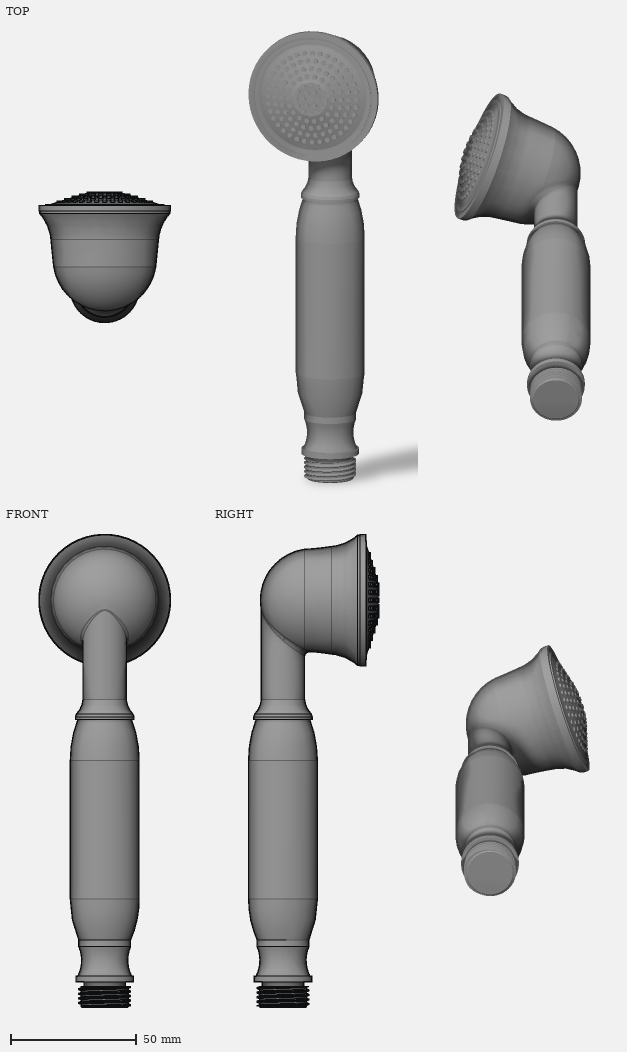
import cadquery as cq
import math


THREAD_PITCH = 1.81
THREAD_TURNS = 6
THREAD_OUTER_RADIUS = 10.4
THREAD_ROOT_RADIUS = 9.5
THREAD_OVERLAP = 0.4
THREAD_BOTTOM_Z = 0.5
CORE_CHAMFER = 0.4
THREAD_RIDGE_BASE = 1.5
THREAD_RIDGE_CREST = 0.4
CORE_TOP_Z = 8.3
RELIEF_RADIUS = 8.3

FLANGE_RADIUS = 11.5
FLANGE_BOTTOM_Z = 10.2
FLANGE_TOP_Z = 12.5
NECK_FOOT_RADIUS = 10.8
NECK_WAIST_RADIUS = 9.3
NECK_WAIST_Z = 18.9
COLLAR_RADIUS = 10.4
COLLAR_BOTTOM_Z = 24.4
COLLAR_TOP_Z = 27.0
GRIP_RADIUS = 13.8
GRIP_BOTTOM_Z = 43.3
GRIP_TOP_Z = 98.7
GRIP_END_RADIUS = 10.8
GRIP_END_Z = 115.0
RING_RADIUS = 11.7
RING_BEVEL_Z = 116.0
RING_TOP_Z = 117.2
FLARE_FOOT_RADIUS = 11.3
FLARE_MID_RADIUS = 9.3
FLARE_MID_Z = 120.5
STEM_RADIUS = 8.7
STEM_BOTTOM_Z = 123.0

RIM_DIAMETER = 52.7
RIM_RADIUS = RIM_DIAMETER / 2
OVERALL_HEIGHT = 189.0
HEAD_Z = OVERALL_HEIGHT - RIM_RADIUS
RIM_FRONT_Y = 33.0
RIM_BACK_Y = 30.8
LIP_RADIUS = 26.0
LIP_BACK_Y = 29.9
BELL_MID_Y = 25.0
BELL_MID_RADIUS = 22.9
BELL_END_Y = 19.5
BELL_END_RADIUS = 21.5
DOME_START_Y = 8.5
DOME_RADIUS = 20.5
POLE_Y = -9.0
STEM_BLEND_RADIUS = 1.7
SEAM_MARGIN = 1.0

DISC_RADIUS = 23.6
DISC_HEIGHT = 0.4
FACE_RADIUS = 21.5
FACE_FLAT_RADIUS = 6.8
FACE_HEIGHT = 5.0
NOZZLE_RADIUS = 1.0
NOZZLE_HEIGHT = 0.4
NOZZLE_RING_COUNT = 6
NOZZLE_RING_STEP = 3.0
NOZZLES_PER_STEP = 6


def tangent_arc_mid(r_tangent, z_tangent, r_end, z_end):
    """Midpoint of the arc that leaves (r_tangent, z_tangent) along Z and reaches (r_end, z_end)."""
    drop = r_tangent - r_end
    length = z_end - z_tangent
    arc_radius = (drop**2 + length**2) / (2 * drop)
    half_angle = math.asin(length / arc_radius) / 2
    return (
        r_tangent - arc_radius * (1 - math.cos(half_angle)),
        z_tangent + arc_radius * math.sin(half_angle),
    )


def make_handle():
    lower_mid = tangent_arc_mid(GRIP_RADIUS, GRIP_BOTTOM_Z, COLLAR_RADIUS, COLLAR_TOP_Z)
    upper_mid = tangent_arc_mid(GRIP_RADIUS, GRIP_TOP_Z, GRIP_END_RADIUS, GRIP_END_Z)
    profile = (
        cq.Workplane("XZ")
        .lineTo(THREAD_ROOT_RADIUS - CORE_CHAMFER, 0)
        .lineTo(THREAD_ROOT_RADIUS, CORE_CHAMFER)
        .lineTo(THREAD_ROOT_RADIUS, CORE_TOP_Z)
        .lineTo(RELIEF_RADIUS, CORE_TOP_Z)
        .lineTo(RELIEF_RADIUS, FLANGE_BOTTOM_Z)
        .lineTo(FLANGE_RADIUS, FLANGE_BOTTOM_Z)
        .lineTo(FLANGE_RADIUS, FLANGE_TOP_Z)
        .lineTo(NECK_FOOT_RADIUS, FLANGE_TOP_Z)
        .threePointArc((NECK_WAIST_RADIUS, NECK_WAIST_Z), (COLLAR_RADIUS, COLLAR_BOTTOM_Z))
        .lineTo(COLLAR_RADIUS, COLLAR_TOP_Z)
        .threePointArc(lower_mid, (GRIP_RADIUS, GRIP_BOTTOM_Z))
        .lineTo(GRIP_RADIUS, GRIP_TOP_Z)
        .threePointArc(upper_mid, (GRIP_END_RADIUS, GRIP_END_Z))
        .lineTo(RING_RADIUS, GRIP_END_Z)
        .lineTo(RING_RADIUS, RING_BEVEL_Z)
        .lineTo(FLARE_FOOT_RADIUS, RING_TOP_Z)
        .threePointArc((FLARE_MID_RADIUS, FLARE_MID_Z), (STEM_RADIUS, STEM_BOTTOM_Z))
        .lineTo(STEM_RADIUS, HEAD_Z)
        .lineTo(0, HEAD_Z)
        .close()
    )
    return profile.revolve(360, (0, 0, 0), (0, 1, 0))


def make_thread():
    inner_radius = THREAD_ROOT_RADIUS - THREAD_OVERLAP
    helix = cq.Wire.makeHelix(THREAD_PITCH, THREAD_PITCH * THREAD_TURNS, THREAD_ROOT_RADIUS)
    ridge = (
        cq.Workplane("XZ")
        .moveTo(inner_radius, -THREAD_RIDGE_BASE / 2)
        .lineTo(THREAD_OUTER_RADIUS, -THREAD_RIDGE_CREST / 2)
        .lineTo(THREAD_OUTER_RADIUS, THREAD_RIDGE_CREST / 2)
        .lineTo(inner_radius, THREAD_RIDGE_BASE / 2)
        .close()
        .sweep(cq.Workplane(helix), isFrenet=True)
    )
    ridge = ridge.translate((0, 0, -THREAD_PITCH / 2))
    threaded_length = (
        cq.Workplane("XY", origin=(0, 0, THREAD_BOTTOM_Z))
        .circle(FLANGE_RADIUS)
        .extrude(CORE_TOP_Z - THREAD_BOTTOM_Z)
    )
    return ridge.intersect(threaded_length)


def make_head():
    dome_depth = DOME_START_Y - POLE_Y
    sphere_radius = (DOME_RADIUS**2 + dome_depth**2) / (2 * dome_depth)
    sphere_y = POLE_Y + sphere_radius
    half_angle = math.asin(DOME_RADIUS / sphere_radius) / 2
    dome_mid = (sphere_radius * math.sin(half_angle), sphere_y - sphere_radius * math.cos(half_angle))
    disc_y = RIM_FRONT_Y + DISC_HEIGHT
    face_y = RIM_FRONT_Y + FACE_HEIGHT
    profile = (
        cq.Workplane("XY")
        .moveTo(0, POLE_Y)
        .threePointArc(dome_mid, (DOME_RADIUS, DOME_START_Y))
        .lineTo(BELL_END_RADIUS, BELL_END_Y)
        .threePointArc((BELL_MID_RADIUS, BELL_MID_Y), (LIP_RADIUS, LIP_BACK_Y))
        .lineTo(LIP_RADIUS, RIM_BACK_Y)
        .lineTo(RIM_RADIUS, RIM_BACK_Y)
        .lineTo(RIM_RADIUS, RIM_FRONT_Y)
        .lineTo(DISC_RADIUS, RIM_FRONT_Y)
        .lineTo(DISC_RADIUS, disc_y)
        .lineTo(FACE_RADIUS, disc_y)
        .lineTo(FACE_FLAT_RADIUS, face_y)
        .lineTo(0, face_y)
        .close()
    )
    return profile.revolve(360, (0, 0, 0), (0, 1, 0)).translate((0, 0, HEAD_Z))


def face_height_at(radius):
    """Height of the spray face above the rim at a distance from the head axis."""
    slope = (FACE_HEIGHT - DISC_HEIGHT) / (FACE_RADIUS - FACE_FLAT_RADIUS)
    return min(FACE_HEIGHT, DISC_HEIGHT + slope * (FACE_RADIUS - radius))


def make_nozzle_ring(ring):
    ring_radius = ring * NOZZLE_RING_STEP
    tip_height = face_height_at(ring_radius) + NOZZLE_HEIGHT
    return (
        cq.Workplane("XZ", origin=(0, RIM_FRONT_Y, HEAD_Z))
        .polarArray(ring_radius, 0, 360, ring * NOZZLES_PER_STEP)
        .circle(NOZZLE_RADIUS)
        .extrude(-tip_height)
    )


def blend_stem(shower):
    """Fillet the seam where the stem runs into the dome of the head."""
    seam_box = cq.selectors.BoxSelector(
        (-STEM_RADIUS - SEAM_MARGIN, -STEM_RADIUS - SEAM_MARGIN, STEM_BOTTOM_Z + SEAM_MARGIN),
        (STEM_RADIUS + SEAM_MARGIN, STEM_RADIUS + SEAM_MARGIN, HEAD_Z - SEAM_MARGIN),
    )
    return shower.edges(seam_box).fillet(STEM_BLEND_RADIUS)


shower = blend_stem(make_handle().union(make_head()))
shower = shower.union(make_thread())
for ring in range(1, NOZZLE_RING_COUNT + 1):
    shower = shower.union(make_nozzle_ring(ring))

result = cq.Workplane(shower.solids().val())